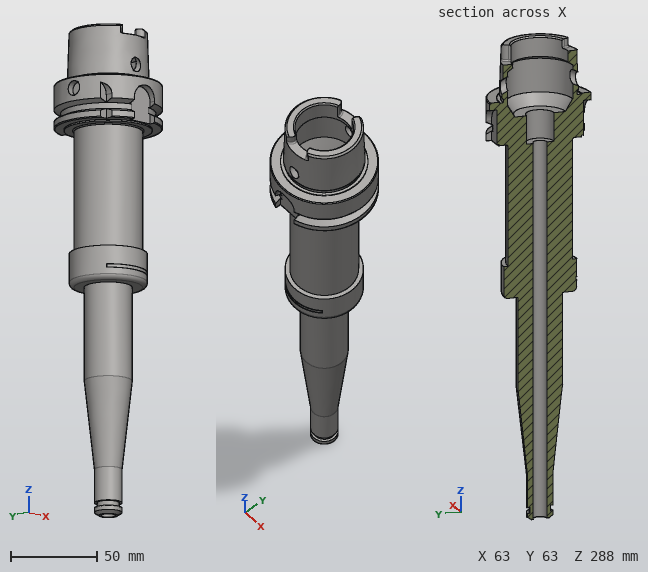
import cadquery as cq
import math


taper_height = 32.0
taper_base_radius = 47.5 / 2
taper_slope = 0.03
taper_top_radius = taper_base_radius - taper_slope * taper_height
rim_chamfer = 1.2
neck_radius = 23.0
neck_height = 1.5

bore_radius = 34.0 / 2
bore_mouth_chamfer = 1.0
bore_mouth_depth = 12.5
clamp_radius = 40.0 / 2
clamp_flare = 2.0
floor_radius = 15.5
floor_z = -10.0
floor_bevel = 7.2
thread_radius = 17.0 / 2
thread_depth = 17.3
coolant_radius = 8.4 / 2

rim_slot_width = 12.5
rim_slot_flare = 3.5
rim_slot_floor_fillet = 1.0
front_rim_slot_depth = 5.5
back_rim_slot_depth = 9.8

access_radius = 7.5 / 2
access_z = 8.5
access_tilt = 26
access_reach = 7.2

flange_radius = 63.0 / 2
flange_height = 26.0
flange_chamfer = 0.5
step_radius = 25.5
step_height = 1.0
step_foot_chamfer = 0.72
relief_radius = 25.3
relief_depth = 0.5
groove_z = -18.0
groove_floor_radius = 27.6
groove_floor_width = 3.5
groove_mouth_width = 7.2

front_keyway_width = 16.0
back_keyway_width = 18.0
keyway_top = 5.0
keyway_floor = 26.8
notch_radius = 7.2
notch_top = 4.5
notch_side = 20.2
notch_floor = 19.5
chip_hole_radius = 8.5 / 2
chip_hole_z = -7.0
chip_hole_depth = 4.5
chip_hole_angle = 187

overall_length = 288
tip_z = taper_height - overall_length
shank_radius = 40.0 / 2
nut_radius = 45.5 / 2
nut_top = -100.2
nut_height = 20.0
nut_fillet = 3.0
label_width = 32.3
label_height = 2.0
label_depth = 0.3
label_z = -112.3
tool_radius = 28.0 / 2
cone_top = -176.0
cone_bottom = -228.7
pilot_radius = 16.0 / 2
tip_groove_radius = 13.0 / 2
tip_groove_top = tip_z + 7.5
tip_ring_top = tip_z + 4.3
tip_ring_bottom = tip_z + 1.7
tip_radius = 11.0 / 2


def revolve(points):
    """Turn a closed outline of (radius, z) points around the tool axis."""
    return cq.Workplane("XZ").polyline(points).close().revolve(360, (0, 0, 0), (0, 1, 0))


def ring(inner_radius, outer_radius, bottom, height):
    """Flat ring around the tool axis."""
    return (
        cq.Workplane("XY").workplane(offset=bottom)
        .circle(outer_radius).circle(inner_radius).extrude(height)
    )


def turned_body():
    """Taper, flange, shank and tool as one turned shape."""
    groove_floor_top = groove_z + groove_floor_width / 2
    groove_floor_bottom = groove_z - groove_floor_width / 2
    groove_mouth_top = groove_z + groove_mouth_width / 2
    groove_mouth_bottom = groove_z - groove_mouth_width / 2
    return revolve([
        (0, taper_height),
        (taper_top_radius - rim_chamfer, taper_height),
        (taper_top_radius, taper_height - rim_chamfer),
        (taper_base_radius, neck_height + taper_base_radius - neck_radius),
        (neck_radius, neck_height),
        (neck_radius, -relief_depth),
        (relief_radius, -relief_depth),
        (relief_radius, 0),
        (flange_radius - flange_chamfer, 0),
        (flange_radius, -flange_chamfer),
        (flange_radius, groove_mouth_top),
        (groove_floor_radius, groove_floor_top),
        (groove_floor_radius, groove_floor_bottom),
        (flange_radius, groove_mouth_bottom),
        (flange_radius, flange_chamfer - flange_height),
        (flange_radius - flange_chamfer, -flange_height),
        (step_radius, -flange_height),
        (step_radius, -flange_height - step_height),
        (shank_radius + step_foot_chamfer, -flange_height - step_height),
        (shank_radius, -flange_height - step_height - step_foot_chamfer),
        (shank_radius, nut_top),
        (tool_radius, nut_top),
        (tool_radius, cone_top),
        (pilot_radius, cone_bottom),
        (pilot_radius, tip_groove_top),
        (tip_groove_radius, tip_groove_top),
        (tip_groove_radius, tip_ring_top),
        (pilot_radius, tip_ring_top),
        (pilot_radius, tip_ring_bottom),
        (tip_radius, tip_z),
        (0, tip_z),
    ])


def clamping_nut():
    """Nut with a rounded lower edge and a shallow recess on its -Y side."""
    nut_bottom = nut_top - nut_height
    nut = cq.Workplane("XY").workplane(offset=nut_bottom).circle(nut_radius).extrude(nut_height)
    nut = nut.faces("<Z").edges().fillet(nut_fillet)
    band = ring(nut_radius - label_depth, nut_radius + label_depth, label_z - label_height / 2, label_height)
    window = cq.Workplane("XY").box(label_width, nut_radius * 2, label_height)
    return nut.cut(band.intersect(window.translate((0, -nut_radius, label_z))))


def clamping_bore():
    """Stepped bore, widened behind its mouth, with a coolant hole down to the tip."""
    bore_mouth_z = taper_height - bore_mouth_depth
    thread_bottom = floor_z - thread_depth
    return revolve([
        (0, taper_height),
        (bore_radius + bore_mouth_chamfer, taper_height),
        (bore_radius, taper_height - bore_mouth_chamfer),
        (bore_radius, bore_mouth_z),
        (clamp_radius, bore_mouth_z - clamp_flare),
        (clamp_radius, floor_z + floor_bevel),
        (floor_radius, floor_z),
        (thread_radius, floor_z),
        (thread_radius, thread_bottom),
        (coolant_radius, thread_bottom),
        (coolant_radius, tip_z),
        (0, tip_z),
    ])


def rim_slot(depth):
    """Drive slot on the -Y side; its walls round outward at the taper surface."""
    half = rim_slot_width / 2
    outer = half + rim_slot_flare
    mouth_y = -math.sqrt(taper_top_radius**2 - outer**2)
    neck_y = mouth_y + rim_slot_flare
    bend = rim_slot_flare * (1 - math.sqrt(0.5))
    cutter = (
        cq.Workplane("XY").workplane(offset=taper_height - depth)
        .moveTo(-half, 0)
        .lineTo(-half, neck_y)
        .threePointArc((-half - bend, mouth_y + bend), (-outer, mouth_y))
        .lineTo(-outer, -flange_radius)
        .lineTo(outer, -flange_radius)
        .lineTo(outer, mouth_y)
        .threePointArc((half + bend, mouth_y + bend), (half, neck_y))
        .lineTo(half, 0)
        .close()
        .extrude(depth)
    )
    return cutter.faces("<Z").edges("not |X").fillet(rim_slot_floor_fillet)


def access_hole():
    """Hole through the -Y taper wall that drops toward the outside."""
    hole = cq.Workplane("XZ").circle(access_radius).extrude(access_reach, both=True)
    hole = hole.rotate((0, 0, 0), (1, 0, 0), access_tilt)
    return hole.translate((0, -taper_base_radius, access_z))


def round_top_slot(center_x, radius, top, floor_y):
    """Slot on the -Y side with a rounded top, open at the flange underside."""
    center_z = -top - radius
    drop = flange_height + center_z
    length = flange_radius
    slot = cq.Workplane("XZ").circle(radius).extrude(length)
    leg = cq.Workplane("XZ").center(0, -drop / 2).rect(2 * radius, drop).extrude(length)
    return slot.union(leg).translate((center_x, -floor_y, center_z))


def chip_hole():
    """Blind radial hole in the flange rim."""
    hole = (
        cq.Workplane("YZ").workplane(offset=flange_radius - chip_hole_depth)
        .center(0, chip_hole_z).circle(chip_hole_radius).extrude(2 * chip_hole_depth)
    )
    return hole.rotate((0, 0, 0), (0, 0, 1), chip_hole_angle)


def on_back(shape):
    """Turn a -Y side shape to the +Y side."""
    return shape.rotate((0, 0, 0), (0, 0, 1), 180)


result = turned_body().union(clamping_nut()).cut(clamping_bore())

result = result.cut(rim_slot(front_rim_slot_depth))
result = result.cut(on_back(rim_slot(back_rim_slot_depth)))
result = result.cut(access_hole())
result = result.cut(on_back(access_hole()))

result = result.cut(round_top_slot(0, front_keyway_width / 2, keyway_top, keyway_floor))
result = result.cut(on_back(round_top_slot(0, back_keyway_width / 2, keyway_top, keyway_floor)))
result = result.cut(round_top_slot(-notch_side - notch_radius, notch_radius, notch_top, notch_floor))
result = result.cut(chip_hole())